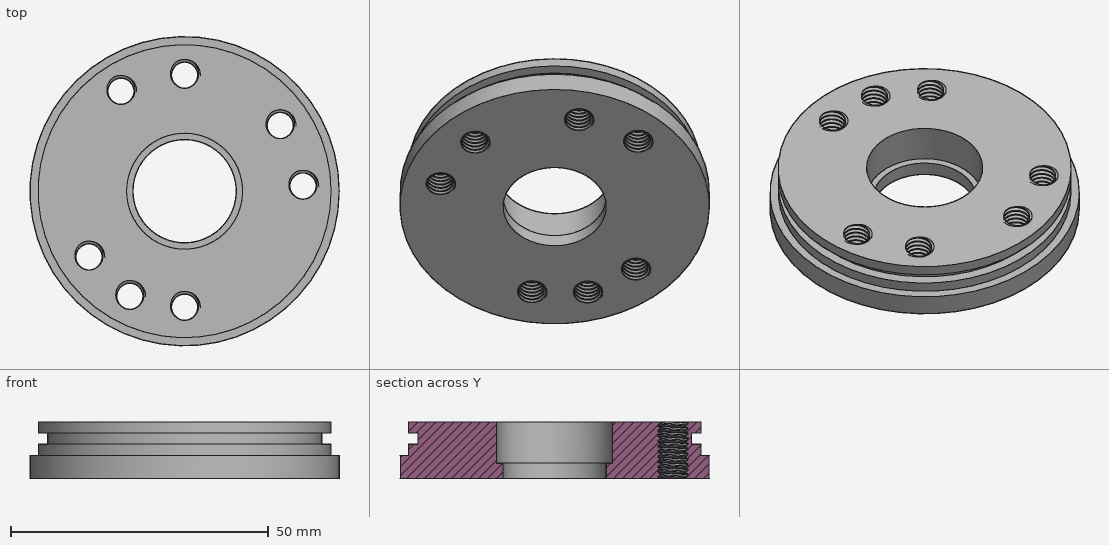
import cadquery as cq
import math

thickness = 11.0
flange_diameter = 60.0
flange_height = 4.5
body_diameter = 56.8
groove_diameter = 53.2
groove_bottom = 6.65
groove_top = 8.8

bore_diameter = 20.0
counterbore_diameter = 22.5
ledge_height = 3.0

inner_circle_radius = 22.5
inner_circle_angles = [-145.5, -90.0, 34.5, 90.0]
outer_circle_radius = 23.0
outer_circle_angles = [-117.5, 2.5, 122.5]

thread_minor_diameter = 5.05
thread_major_diameter = 6.1
thread_pitch = 3 / 3
thread_flank_angle = 30.0
thread_root_flat = thread_pitch / 8
thread_start_angle = 90.0
groove_overlap = 0.05


def make_disc():
    """Flange, body and outer ring groove, with the stepped central bore."""
    disc = cq.Workplane("XY").circle(flange_diameter / 2).extrude(flange_height)
    steps = [
        (body_diameter, flange_height, groove_bottom),
        (groove_diameter, groove_bottom, groove_top),
        (body_diameter, groove_top, thickness),
    ]
    for diameter, bottom, top in steps:
        step = cq.Workplane("XY").workplane(offset=bottom).circle(diameter / 2).extrude(top - bottom)
        disc = disc.union(step)
    return (
        disc.faces(">Z").workplane()
        .cboreHole(bore_diameter, counterbore_diameter, thickness - ledge_height)
    )


def make_thread_groove():
    """Helical V groove around Z that runs at least one pitch past the top and bottom faces."""
    inner_radius = thread_minor_diameter / 2 - groove_overlap
    outer_radius = thread_major_diameter / 2
    half_flat = thread_root_flat / 2
    half_mouth = half_flat + (outer_radius - inner_radius) * math.tan(math.radians(thread_flank_angle))
    profile = cq.Workplane("XZ").polyline([
        (inner_radius, -half_mouth),
        (outer_radius, -half_flat),
        (outer_radius, half_flat),
        (inner_radius, half_mouth),
    ]).close()
    helix_height = (math.ceil(thickness / thread_pitch) + 2) * thread_pitch
    helix = cq.Wire.makeHelix(thread_pitch, helix_height, inner_radius)
    groove = profile.sweep(cq.Workplane(helix), isFrenet=True)
    groove = groove.rotate((0, 0, 0), (0, 0, 1), thread_start_angle)
    return groove.translate((0, 0, thickness + thread_pitch - helix_height))


def hole_centres():
    """X and Y of every threaded hole."""
    circles = [
        (inner_circle_radius, inner_circle_angles),
        (outer_circle_radius, outer_circle_angles),
    ]
    return [
        (radius * math.cos(math.radians(angle)), radius * math.sin(math.radians(angle)))
        for radius, angles in circles
        for angle in angles
    ]


def make_threaded_hole():
    """Cutter for one threaded through hole: the plain hole and its groove, trimmed to the disc height."""
    core = cq.Workplane("XY").circle(thread_minor_diameter / 2).extrude(thickness)
    slab = cq.Workplane("XY").circle(thread_major_diameter).extrude(thickness)
    return core.union(make_thread_groove().intersect(slab))


result = make_disc()
threaded_hole = make_threaded_hole()
for x, y in hole_centres():
    result = result.cut(threaded_hole.translate((x, y, 0)))